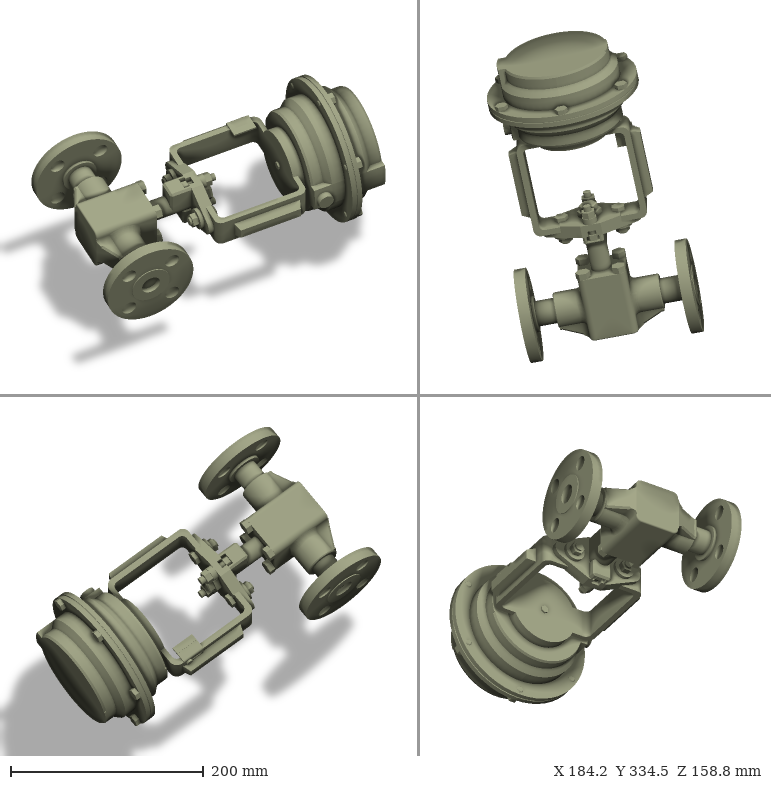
import cadquery as cq
import math


OVERALL_LENGTH = 334.51
SELECTION_MARGIN = 1.0

FACE_TO_FACE = 184.15
FLANGE_DIAMETER = 98.55
FLANGE_THICKNESS = 12.0
RAISED_FACE_DIAMETER = 42.9
RAISED_FACE_HEIGHT = 1.0
BOLT_CIRCLE = 69.85
FLANGE_HOLE_DIAMETER = 15.9
FLANGE_HOLE_COUNT = 4
FLANGE_HOLE_START = 45
HUB_DIAMETER = 38.0
HUB_LENGTH = 2.9
PIPE_DIAMETER = 26.67
BORE_DIAMETER = 20.9
BORE_DEPTH = 6.0
FLANGE_OUTER_X = FACE_TO_FACE / 2 - RAISED_FACE_HEIGHT
FLANGE_INNER_X = FLANGE_OUTER_X - FLANGE_THICKNESS

BLOCK_HALF_WIDTH = 25.6
BLOCK_HALF_HEIGHT = 26.2
BLOCK_BOTTOM = -30.8
BLOCK_TOP = 39.0
BODY_SPLIT_Y = 19.5
BLOCK_CORNER_RADIUS = 6.7
BLOCK_BOTTOM_RADIUS = 1.5
SOCKET_DIAMETER = 37.4
SOCKET_END_X = 56.0
SOCKET_EDGE_CHAMFER = 1.0
SOCKET_BLEND_RADIUS = 6.0
GUSSET_HALF_HEIGHT = 12.6
GUSSET_EDGE_CHAMFER = 2.0
GUSSET_INNER_X = 26.2
GUSSET_FLARE_RADIUS = 6.0
GUSSET_OUTER_X = 52.6
GUSSET_OUTER_Y = -18.3

FLATS_ALONG_X = 30

BODY_BOLT_SPACING = 37.8
BODY_BOLT_CORNERS = 15.6
BODY_BOLT_HEIGHT = 6.6

NECK_DIAMETER = 21.6
BRACKET_BOTTOM = 86.2
BRACKET_TOP = 92.1
DIAMOND_FLAT_HALF_WIDTH = 10.8
DIAMOND_HALF_HEIGHT = 26.1
EAR_X = 41.4
EAR_RADIUS = 10.4
CLAMP_UPPER_BOTTOM = 62.3
CLAMP_LOWER_BOTTOM = 76.8
CLAMP_LOWER_TOP_Z = -7.0
CLAMP_EDGE_CHAMFER = 2.2
STUD_SLOT_WIDTH = 9.0
STUD_POCKET_WIDTH = 13.6
STUD_POCKET_DEPTH = 6.4

STUD_Z = 18.4
STUD_DIAMETER = 7.9
STUD_HEAD_CORNERS = 13.4
STUD_HEAD_HEIGHT = 6.2
STUD_WASHER_DIAMETER = 15.2
STUD_WASHER_HEIGHT = 6.0
STUD_NUT_CORNERS = 15.0
STUD_NUT_HEIGHT = 7.0
STUD_TIP_LENGTH = 5.5
GLAND_DIAMETER = 16.0
GLAND_BASE_CORNERS = 25.8
GLAND_BASE_HEIGHT = 6.0
GLAND_NUT_CORNERS = 19.6
GLAND_NUT_HEIGHT = 7.0
GLAND_NUT_CHAMFER = 1.2
SIDE_BOLT_X = 30.2
SIDE_BOLT_DIAMETER = 8.8
SIDE_BOLT_CORNERS = 15.0
SIDE_HEAD_HEIGHT = 5.6
SIDE_WASHER_DIAMETER = 22.4
SIDE_WASHER_HEIGHT = 4.2
SIDE_NUT_HEIGHT = 6.2
SIDE_TIP_LENGTH = 2.2

YOKE_HALF_WIDTH = 60.0
YOKE_HALF_HEIGHT = 15.9
YOKE_SIDE_THICKNESS = 6.4
YOKE_BOTTOM = BRACKET_TOP
YOKE_BOTTOM_THICKNESS = 6.2
YOKE_TOP = 197.0
YOKE_TOP_THICKNESS = 5.4
YOKE_BOTTOM_OUTER_RADIUS = 7.5
YOKE_TOP_OUTER_RADIUS = 9.0
YOKE_INNER_RADIUS = 6.0
DIAMOND_THICKNESS = 7.3
DIAMOND_SHOULDER_X = 32.2
PUCK_DIAMETER = 76.6
STEM_CORNERS = 8.6
STEM_LENGTH = 2.1

RIB_BASE_Y = (111.3, 187.4)
RIB_FACE_Y = (114.7, 183.8)
RIB_BASE_HALF_HEIGHT = 8.4
RIB_FACE_HALF_HEIGHT = 5.6
RIB_OUTER_X = 69.4

INDICATOR_Y = (160.8, 186.4)
INDICATOR_INNER_X = -41.5
INDICATOR_THICKNESS = 1.3
INDICATOR_TOP = 20.2
INDICATOR_PLATE_THICKNESS = 2.0
INDICATOR_LEG_BOTTOM = 8.2
INDICATOR_BEND_RADIUS = 1.8
INDICATOR_SCALE_X = -49.5
INDICATOR_SCALE_STEP = 0.3
INDICATOR_SCREW_Y = 180.2
INDICATOR_SCREW_Z = 12.8
INDICATOR_SCREW_DIAMETER = 7.2
INDICATOR_SCREW_X = -63.4
INDICATOR_SLOT_END_Y = 164.6
INDICATOR_SLOT_WIDTH = 6.0

CASE_BOTTOM = 203.6
CASE_TOP = OVERALL_LENGTH - FLANGE_DIAMETER / 2
CASE_END_RADIUS = 55.6
CASE_WIDE_RADIUS = 62.1
CASE_END_CHAMFER = 1.3
CASE_END_BAND = 2.5
LOWER_CONE = (217.1, 224.2)
UPPER_CONE = (264.3, 271.3)
RIM_DIAMETER = 158.75
RIM_RADIUS = RIM_DIAMETER / 2
RIM_BOTTOM = 238.5
RIM_TOP = 250.0
RIM_GROOVE_WIDTH = 1.2
RIM_GROOVE_DEPTH = 1.0
LUG_HALF_HEIGHT = 14.6
PORT_X = 68.3
PORT_Y = 214.1
PORT_DIAMETER = 16.7

RIM_BOLT_COUNT = 6
RIM_BOLT_CIRCLE_RADIUS = 73.0
RIM_BOLT_CORNERS = 13.4
RIM_BOLT_HEAD_HEIGHT = 5.1
RIM_BOLT_DIAMETER = 7.4
RIM_BOLT_TIP = 1.1
RIM_BOLT_TIP_CHAMFER = 1.0


def y_rod(x, z, y_start, y_end, diameter):
    """Round bar parallel to Y."""
    plane = cq.Workplane("XZ", origin=(x, y_start, z))
    return plane.circle(diameter / 2).extrude(y_start - y_end)


def y_hex(x, z, y_start, y_end, corners, turn=0):
    """Hexagonal bar parallel to Y; at zero turn two of its corners lie along X."""
    bar = cq.Workplane("XZ").polygon(6, corners).extrude(y_start - y_end)
    return bar.rotate((0, 0, 0), (0, 1, 0), turn).translate((x, y_start, z))


def x_rod(x_start, x_end, y, z, diameter):
    """Round bar parallel to X."""
    plane = cq.Workplane("YZ", origin=(x_start, y, z))
    return plane.circle(diameter / 2).extrude(x_end - x_start)


def block(x_range, y_range, z_range):
    """Box given by its lowest and highest coordinate along each axis."""
    size = [high - low for low, high in (x_range, y_range, z_range)]
    return cq.Workplane("XY").box(*size, centered=False).translate((x_range[0], y_range[0], z_range[0]))


def polygon_plate(points, y_bottom, y_top):
    """Flat plate with an outline of (X, Z) points, spanning two Y levels."""
    return cq.Workplane("XZ", origin=(0, y_bottom, 0)).polyline(points).close().extrude(y_bottom - y_top)



def block_outline(y_bottom, y_top):
    """Rounded rectangular column shared by the valve body and the foot of the bonnet."""
    column = block(
        (-BLOCK_HALF_WIDTH, BLOCK_HALF_WIDTH), (y_bottom, y_top), (-BLOCK_HALF_HEIGHT, BLOCK_HALF_HEIGHT)
    )
    return column.edges("|Y").fillet(BLOCK_CORNER_RADIUS)


def valve_block():
    """Block with blended sockets, cut off flat where the bonnet sits."""
    core = block_outline(BLOCK_BOTTOM, BLOCK_TOP)
    core = core.faces("<Y").edges().fillet(BLOCK_BOTTOM_RADIUS)
    sockets = x_rod(-SOCKET_END_X, SOCKET_END_X, 0, 0, SOCKET_DIAMETER)
    sockets = sockets.faces("<X or >X").chamfer(SOCKET_EDGE_CHAMFER)
    joint_x = BLOCK_HALF_WIDTH + SELECTION_MARGIN
    joints = cq.selectors.BoxSelector(
        (-joint_x, -SELECTION_MARGIN, -SELECTION_MARGIN), (joint_x, SELECTION_MARGIN, SELECTION_MARGIN)
    )
    body = core.union(sockets).edges("%CIRCLE").edges(joints).fillet(SOCKET_BLEND_RADIUS)
    reach = (-SOCKET_END_X, SOCKET_END_X)
    return body.cut(block(reach, (BODY_SPLIT_Y, BLOCK_TOP), (-BLOCK_HALF_HEIGHT, BLOCK_HALF_HEIGHT)))


def gusset_flares():
    """Column whose concave corners lead the gusset sides into the sides of the block."""
    flare_x = BLOCK_HALF_WIDTH + GUSSET_FLARE_RADIUS
    flare_z = GUSSET_HALF_HEIGHT + GUSSET_FLARE_RADIUS
    column = cq.Workplane("XZ").rect(2 * flare_x, 2 * flare_z).extrude(-BLOCK_BOTTOM)
    corners = [(x, z) for x in (-flare_x, flare_x) for z in (-flare_z, flare_z)]
    hollows = cq.Workplane("XZ").pushPoints(corners).circle(GUSSET_FLARE_RADIUS).extrude(-BLOCK_BOTTOM)
    return column.cut(hollows)


def gusset():
    """Tapered web under both sockets, running into the bottom of the block."""
    outline = [
        (-SOCKET_END_X + SOCKET_EDGE_CHAMFER, 0),
        (-SOCKET_END_X + SOCKET_EDGE_CHAMFER, GUSSET_OUTER_Y),
        (-GUSSET_OUTER_X, GUSSET_OUTER_Y),
        (-GUSSET_INNER_X, BLOCK_BOTTOM),
    ]
    outline += [(-x, y) for x, y in reversed(outline)]
    web = cq.Workplane("XY").polyline(outline).close().extrude(GUSSET_HALF_HEIGHT, both=True)
    slab = cq.Workplane("XY").polyline(outline).close().extrude(BLOCK_HALF_HEIGHT, both=True)
    sloped_edges = cq.selectors.BoxSelector(
        (-SOCKET_END_X, BLOCK_BOTTOM + SELECTION_MARGIN, -BLOCK_HALF_HEIGHT),
        (SOCKET_END_X, GUSSET_OUTER_Y + SELECTION_MARGIN, BLOCK_HALF_HEIGHT),
    )
    web = web.edges("not |Z").edges(sloped_edges).chamfer(GUSSET_EDGE_CHAMFER)
    return web.union(slab.intersect(gusset_flares()))


def pipe_end():
    """Pipe, hub, flange and raised face on the +X side."""
    half_length = FACE_TO_FACE / 2
    end = x_rod(0, FLANGE_OUTER_X, 0, 0, PIPE_DIAMETER)
    end = end.union(x_rod(FLANGE_INNER_X - HUB_LENGTH, FLANGE_OUTER_X, 0, 0, HUB_DIAMETER))
    end = end.union(x_rod(FLANGE_INNER_X, FLANGE_OUTER_X, 0, 0, FLANGE_DIAMETER))
    end = end.union(x_rod(FLANGE_OUTER_X, half_length, 0, 0, RAISED_FACE_DIAMETER))
    holes = (
        cq.Workplane("YZ", origin=(FLANGE_INNER_X, 0, 0))
        .polarArray(BOLT_CIRCLE / 2, FLANGE_HOLE_START, 360, FLANGE_HOLE_COUNT)
        .circle(FLANGE_HOLE_DIAMETER / 2)
        .extrude(FLANGE_THICKNESS)
    )
    bore = x_rod(half_length - BORE_DEPTH, half_length, 0, 0, BORE_DIAMETER)
    return end.cut(holes).cut(bore)


def build_valve():
    valve = valve_block().union(gusset())
    end = pipe_end()
    return valve.union(end).union(end.mirror("YZ"))



DIAMOND_TOP = YOKE_BOTTOM + DIAMOND_THICKNESS


def bracket_plate():
    """Diamond-shaped plate with round ears, its slopes tangent to the ears."""
    run = EAR_X - DIAMOND_FLAT_HALF_WIDTH
    distance = math.hypot(run, DIAMOND_HALF_HEIGHT)
    tangent_angle = math.atan2(DIAMOND_HALF_HEIGHT, -run) - math.acos(EAR_RADIUS / distance)
    tangent_x = EAR_X + EAR_RADIUS * math.cos(tangent_angle)
    tangent_z = EAR_RADIUS * math.sin(tangent_angle)
    outline = (
        cq.Workplane("XZ", origin=(0, BRACKET_BOTTOM, 0))
        .moveTo(-DIAMOND_FLAT_HALF_WIDTH, DIAMOND_HALF_HEIGHT)
        .lineTo(DIAMOND_FLAT_HALF_WIDTH, DIAMOND_HALF_HEIGHT)
        .lineTo(tangent_x, tangent_z)
        .threePointArc((EAR_X + EAR_RADIUS, 0), (tangent_x, -tangent_z))
        .lineTo(DIAMOND_FLAT_HALF_WIDTH, -DIAMOND_HALF_HEIGHT)
        .lineTo(-DIAMOND_FLAT_HALF_WIDTH, -DIAMOND_HALF_HEIGHT)
        .lineTo(-tangent_x, -tangent_z)
        .threePointArc((-EAR_X - EAR_RADIUS, 0), (-tangent_x, tangent_z))
        .close()
    )
    return outline.extrude(BRACKET_BOTTOM - BRACKET_TOP)


def clamp_blocks():
    """Upper and lower blocks under the bracket plate, bevelled on their free edges."""
    x_range = (-DIAMOND_FLAT_HALF_WIDTH, DIAMOND_FLAT_HALF_WIDTH)
    upper = block(x_range, (CLAMP_UPPER_BOTTOM, BRACKET_BOTTOM), (0, DIAMOND_HALF_HEIGHT))
    lower = block(x_range, (CLAMP_LOWER_BOTTOM, BRACKET_BOTTOM), (-DIAMOND_HALF_HEIGHT, CLAMP_LOWER_TOP_Z))
    upper = upper.edges("(<Y and (|Z or >Z)) or (>Z and |Y)").chamfer(CLAMP_EDGE_CHAMFER)
    lower = lower.edges("(<Y and (|Z or <Z)) or (<Z and |Y)").chamfer(CLAMP_EDGE_CHAMFER)
    return upper.union(lower)


def stud(side):
    """Bolt above (+1) or below (-1) the stem axis, with its washer and nut inside the yoke."""
    z = side * STUD_Z
    washer_top = DIAMOND_TOP + STUD_WASHER_HEIGHT
    nut_top = washer_top + STUD_NUT_HEIGHT
    bolt = y_rod(0, z, BRACKET_BOTTOM, nut_top + STUD_TIP_LENGTH, STUD_DIAMETER)
    bolt = bolt.union(y_hex(0, z, BRACKET_BOTTOM - STUD_HEAD_HEIGHT, BRACKET_BOTTOM, STUD_HEAD_CORNERS))
    bolt = bolt.union(y_rod(0, z, DIAMOND_TOP, washer_top, STUD_WASHER_DIAMETER))
    return bolt.union(y_hex(0, z, washer_top, nut_top, STUD_NUT_CORNERS, FLATS_ALONG_X))


def stud_slot(side):
    """Slot in the bracket plate and head pocket in the clamp block, both open outwards in Z."""
    z_range = sorted((side * (STUD_Z - STUD_POCKET_WIDTH / 2), side * DIAMOND_HALF_HEIGHT))
    half_slot = STUD_SLOT_WIDTH / 2
    half_pocket = STUD_POCKET_WIDTH / 2
    slot = block((-half_slot, half_slot), (BRACKET_BOTTOM, BRACKET_TOP), z_range)
    pocket_floor = BRACKET_BOTTOM - STUD_POCKET_DEPTH
    return slot.union(block((-half_pocket, half_pocket), (pocket_floor, BRACKET_BOTTOM), z_range))


def gland():
    """Packing gland that passes through the yoke, with a hexagonal base and nut on top of it."""
    base_top = DIAMOND_TOP + GLAND_BASE_HEIGHT
    nut = y_hex(0, 0, base_top, base_top + GLAND_NUT_HEIGHT, GLAND_NUT_CORNERS)
    nut = nut.faces(">Y").chamfer(GLAND_NUT_CHAMFER)
    base = y_hex(0, 0, DIAMOND_TOP, base_top, GLAND_BASE_CORNERS)
    return y_rod(0, 0, BRACKET_TOP, DIAMOND_TOP, GLAND_DIAMETER).union(base).union(nut)


def side_bolt(x, head_turn):
    """Bolt with its head inside the yoke and its washer and nut under the bracket ear."""
    head_bottom = YOKE_BOTTOM + YOKE_BOTTOM_THICKNESS
    washer_bottom = BRACKET_BOTTOM - SIDE_WASHER_HEIGHT
    nut_bottom = washer_bottom - SIDE_NUT_HEIGHT
    bolt = y_rod(x, 0, nut_bottom - SIDE_TIP_LENGTH, DIAMOND_TOP, SIDE_BOLT_DIAMETER)
    bolt = bolt.union(y_hex(x, 0, DIAMOND_TOP, head_bottom + SIDE_HEAD_HEIGHT, SIDE_BOLT_CORNERS, head_turn))
    bolt = bolt.union(y_rod(x, 0, washer_bottom, BRACKET_BOTTOM, SIDE_WASHER_DIAMETER))
    return bolt.union(y_hex(x, 0, nut_bottom, washer_bottom, SIDE_BOLT_CORNERS))


def bonnet_foot():
    """Upper part of the block with its four bolt heads and the neck."""
    foot = block_outline(BODY_SPLIT_Y, BLOCK_TOP)
    offset = BODY_BOLT_SPACING / 2
    for x, turn in ((-offset, FLATS_ALONG_X), (offset, 0)):
        for z in (-offset, offset):
            top = BLOCK_TOP + BODY_BOLT_HEIGHT
            foot = foot.union(y_hex(x, z, BLOCK_TOP, top, BODY_BOLT_CORNERS, turn))
    neck = y_rod(0, 0, BLOCK_TOP, BRACKET_BOTTOM, NECK_DIAMETER)
    return foot.union(neck)


def build_bonnet():
    bonnet = bonnet_foot().union(bracket_plate()).union(clamp_blocks())
    bonnet = bonnet.union(gland())
    for side in (-1, 1):
        bonnet = bonnet.cut(stud_slot(side)).union(stud(side))
    bonnet = bonnet.union(side_bolt(-SIDE_BOLT_X, FLATS_ALONG_X))
    return bonnet.union(side_bolt(SIDE_BOLT_X, 0))



def yoke_frame():
    """Rectangular strap bent with round corners, with the diamond seat on its lower side."""
    outer = block(
        (-YOKE_HALF_WIDTH, YOKE_HALF_WIDTH), (YOKE_BOTTOM, YOKE_TOP), (-YOKE_HALF_HEIGHT, YOKE_HALF_HEIGHT)
    )
    inner_half_width = YOKE_HALF_WIDTH - YOKE_SIDE_THICKNESS
    window = block(
        (-inner_half_width, inner_half_width),
        (YOKE_BOTTOM + YOKE_BOTTOM_THICKNESS, YOKE_TOP - YOKE_TOP_THICKNESS),
        (-YOKE_HALF_HEIGHT, YOKE_HALF_HEIGHT),
    )
    outer = outer.faces("<Y").edges("|Z").fillet(YOKE_BOTTOM_OUTER_RADIUS)
    outer = outer.faces(">Y").edges("|Z").fillet(YOKE_TOP_OUTER_RADIUS)
    frame = outer.cut(window.edges("|Z").fillet(YOKE_INNER_RADIUS))
    upper_half = [
        (-DIAMOND_SHOULDER_X, YOKE_HALF_HEIGHT),
        (-DIAMOND_FLAT_HALF_WIDTH, DIAMOND_HALF_HEIGHT),
        (DIAMOND_FLAT_HALF_WIDTH, DIAMOND_HALF_HEIGHT),
        (DIAMOND_SHOULDER_X, YOKE_HALF_HEIGHT),
    ]
    lower_half = [(-x, -z) for x, z in upper_half]
    return frame.union(polygon_plate(upper_half + lower_half, YOKE_BOTTOM, DIAMOND_TOP))


def rib():
    """Tapered rib on the +X side of the strap."""
    base_length = RIB_BASE_Y[1] - RIB_BASE_Y[0]
    face_length = RIB_FACE_Y[1] - RIB_FACE_Y[0]
    base_middle = sum(RIB_BASE_Y) / 2
    face_shift = sum(RIB_FACE_Y) / 2 - base_middle
    return (
        cq.Workplane("YZ", origin=(YOKE_HALF_WIDTH, base_middle, 0))
        .rect(base_length, 2 * RIB_BASE_HALF_HEIGHT)
        .workplane(offset=RIB_OUTER_X - YOKE_HALF_WIDTH)
        .center(face_shift, 0)
        .rect(face_length, 2 * RIB_FACE_HALF_HEIGHT)
        .loft(ruled=True)
    )


def indicator():
    """Angle plate with a slotted leg, a raised scale strip and its screw head."""
    outer_x = -YOKE_HALF_WIDTH - INDICATOR_THICKNESS
    strip_bottom = INDICATOR_TOP - INDICATOR_PLATE_THICKNESS
    step_top = INDICATOR_TOP - INDICATOR_SCALE_STEP
    leg = block((outer_x, -YOKE_HALF_WIDTH), INDICATOR_Y, (INDICATOR_LEG_BOTTOM, step_top))
    plate = block((outer_x, INDICATOR_INNER_X), INDICATOR_Y, (strip_bottom, step_top))
    angle = leg.union(plate).edges("|Y and <X and >Z").fillet(INDICATOR_BEND_RADIUS)
    strip = block((INDICATOR_SCALE_X, INDICATOR_INNER_X), INDICATOR_Y, (strip_bottom, INDICATOR_TOP))
    slot_middle = (INDICATOR_SCREW_Y + INDICATOR_SLOT_END_Y) / 2
    slot_length = INDICATOR_SCREW_Y - INDICATOR_SLOT_END_Y + INDICATOR_SLOT_WIDTH / 2
    slot = (
        cq.Workplane("YZ", origin=(outer_x, slot_middle, INDICATOR_SCREW_Z))
        .slot2D(slot_length, INDICATOR_SLOT_WIDTH)
        .extrude(INDICATOR_THICKNESS)
    )
    screw = x_rod(
        INDICATOR_SCREW_X, -YOKE_HALF_WIDTH, INDICATOR_SCREW_Y, INDICATOR_SCREW_Z, INDICATOR_SCREW_DIAMETER
    )
    return angle.cut(slot).union(strip).union(screw)


def build_yoke():
    yoke = yoke_frame()
    yoke = yoke.union(rib()).union(rib().mirror("YZ"))
    seat_bottom = YOKE_TOP - YOKE_TOP_THICKNESS
    yoke = yoke.union(y_rod(0, 0, seat_bottom, CASE_BOTTOM, PUCK_DIAMETER))
    yoke = yoke.union(y_hex(0, 0, seat_bottom - STEM_LENGTH, seat_bottom, STEM_CORNERS, FLATS_ALONG_X))
    yoke = yoke.union(indicator())
    yoke = yoke.cut(y_rod(0, 0, YOKE_BOTTOM, DIAMOND_TOP, GLAND_DIAMETER))
    for side in (-1, 1):
        yoke = yoke.cut(y_rod(0, side * STUD_Z, YOKE_BOTTOM, DIAMOND_TOP, STUD_DIAMETER))
        yoke = yoke.cut(y_rod(side * SIDE_BOLT_X, 0, YOKE_BOTTOM, DIAMOND_TOP, SIDE_BOLT_DIAMETER))
    return yoke



def diaphragm_case():
    groove_middle = (RIM_BOTTOM + RIM_TOP) / 2
    groove_radius = RIM_RADIUS - RIM_GROOVE_DEPTH
    profile = [
        (0, CASE_BOTTOM),
        (CASE_END_RADIUS, CASE_BOTTOM),
        (CASE_END_RADIUS, LOWER_CONE[0]),
        (CASE_WIDE_RADIUS, LOWER_CONE[1]),
        (CASE_WIDE_RADIUS, RIM_BOTTOM),
        (RIM_RADIUS, RIM_BOTTOM),
        (RIM_RADIUS, groove_middle - RIM_GROOVE_WIDTH / 2),
        (groove_radius, groove_middle - RIM_GROOVE_WIDTH / 2),
        (groove_radius, groove_middle + RIM_GROOVE_WIDTH / 2),
        (RIM_RADIUS, groove_middle + RIM_GROOVE_WIDTH / 2),
        (RIM_RADIUS, RIM_TOP),
        (CASE_WIDE_RADIUS, RIM_TOP),
        (CASE_WIDE_RADIUS, UPPER_CONE[0]),
        (CASE_END_RADIUS, UPPER_CONE[1]),
        (CASE_END_RADIUS, CASE_TOP),
        (0, CASE_TOP),
    ]
    case = cq.Workplane("XY").polyline(profile).close().revolve(360, (0, 0, 0), (0, 1, 0))
    return case.rotate((0, 0, 0), (0, 1, 0), 90)


def end_bevel(end_y, band):
    """Material removed to bevel one end of the case, except beside the lug and opposite to it."""
    profile = [
        (CASE_END_RADIUS - CASE_END_CHAMFER, end_y),
        (CASE_END_RADIUS, end_y + band),
        (CASE_WIDE_RADIUS, end_y + band),
        (CASE_WIDE_RADIUS, end_y),
    ]
    ring = cq.Workplane("XY").polyline(profile).close().revolve(360, (0, 0, 0), (0, 1, 0))
    width = 2 * CASE_WIDE_RADIUS
    kept = cq.Workplane("XY").box(width, 4 * CASE_END_BAND, 2 * LUG_HALF_HEIGHT)
    return ring.cut(kept.translate((0, end_y, 0)))


def port_lug():
    """Lug on the +X side, as wide as the case, with the air port on its lower half."""
    full = y_rod(0, 0, CASE_BOTTOM, CASE_TOP, 2 * CASE_WIDE_RADIUS)
    z_range = (-LUG_HALF_HEIGHT, LUG_HALF_HEIGHT)
    lug = full.intersect(block((0, CASE_WIDE_RADIUS), (CASE_BOTTOM, CASE_TOP), z_range))
    return lug.union(x_rod(0, PORT_X, PORT_Y, 0, PORT_DIAMETER))


def rim_bolt(angle):
    x = RIM_BOLT_CIRCLE_RADIUS * math.cos(angle)
    z = RIM_BOLT_CIRCLE_RADIUS * math.sin(angle)
    head = y_hex(x, z, RIM_TOP, RIM_TOP + RIM_BOLT_HEAD_HEIGHT, RIM_BOLT_CORNERS)
    tip = y_rod(x, z, RIM_BOTTOM - RIM_BOLT_TIP, RIM_BOTTOM, RIM_BOLT_DIAMETER)
    return head.union(tip.faces("<Y").chamfer(RIM_BOLT_TIP_CHAMFER))


def build_actuator():
    actuator = diaphragm_case()
    actuator = actuator.cut(end_bevel(CASE_BOTTOM, CASE_END_BAND))
    actuator = actuator.cut(end_bevel(CASE_TOP, -CASE_END_BAND))
    actuator = actuator.union(port_lug())
    for index in range(RIM_BOLT_COUNT):
        actuator = actuator.union(rim_bolt(math.radians(90 + index * 360 / RIM_BOLT_COUNT)))
    return actuator


valve = build_valve()
bonnet = build_bonnet()
yoke = build_yoke()
actuator = build_actuator()

result = cq.Compound.makeCompound([valve.val(), bonnet.val(), yoke.val(), actuator.val()])